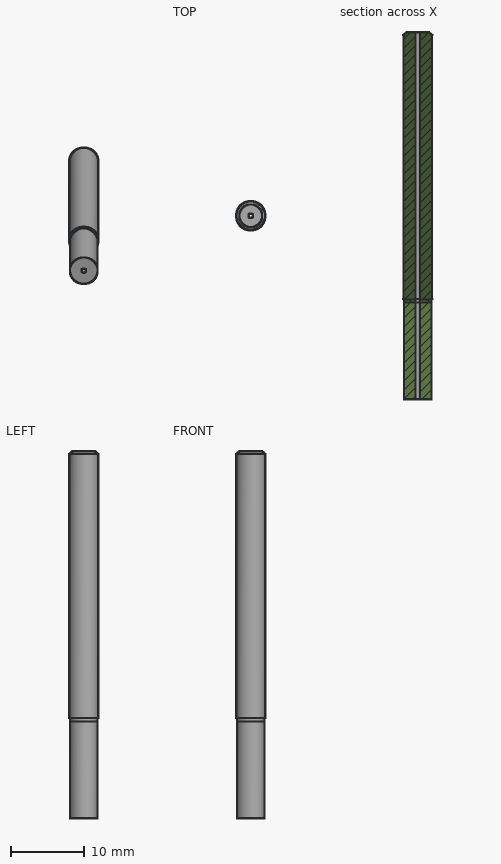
import cadquery as cq

total_length = 50.0
tip_length = 13.2
joint_thickness = 0.45
shank_bottom = tip_length + joint_thickness

shank_diameter = 4.0
tip_diameter = 3.8
bore_diameter = 0.6

chamfer_height = 0.4
chamfer_width = 0.45


def bored_cylinder(diameter, bottom, length):
    """Upright cylinder with the central bore running through it."""
    return (
        cq.Workplane("XY", origin=(0, 0, bottom))
        .circle(diameter / 2)
        .circle(bore_diameter / 2)
        .extrude(length)
    )


def make_shank():
    """Bored shank, with its profile revolved to include the top chamfer."""
    bore_radius = bore_diameter / 2
    shank_radius = shank_diameter / 2
    return (
        cq.Workplane("XZ")
        .moveTo(bore_radius, shank_bottom)
        .lineTo(shank_radius, shank_bottom)
        .lineTo(shank_radius, total_length - chamfer_height)
        .lineTo(shank_radius - chamfer_width, total_length)
        .lineTo(bore_radius, total_length)
        .close()
        .revolve(360, (0, 0, 0), (0, 1, 0))
    )


tip = bored_cylinder(tip_diameter, 0, tip_length)
joint_disc = bored_cylinder(tip_diameter, tip_length, joint_thickness)
shank = make_shank()

result = cq.Compound.makeCompound([tip.val(), joint_disc.val(), shank.val()])